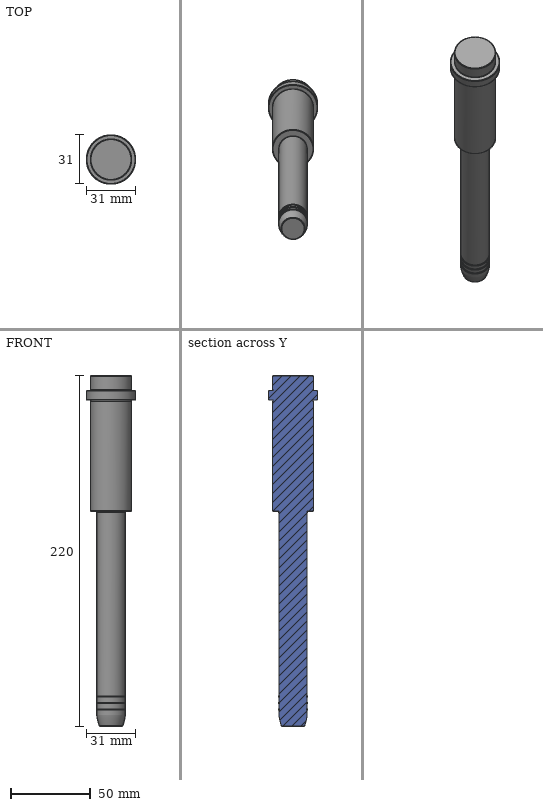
import cadquery as cq

length = 220.0
top_z = length / 2
bottom_z = -length / 2

body_diameter = 26.0
body_length = 85.1
body_chamfer = 0.5
body_top_chamfer = 0.5

flange_diameter = 31.0
flange_top_depth = 9.2
flange_thickness = 6.2
flange_chamfer = 0.5

relief_width = 0.7
relief_depth = 0.2

shank_diameter = 18.0
nose_length = 7.0
nose_end_diameter = 15.0
nose_end_chamfer = 0.5
nose_bulge = 0.2

oil_groove_count = 3
oil_groove_pitch = 4.0
oil_groove_width = 0.7
oil_groove_depth = 0.5
lowest_oil_groove_height = 10.3


def cylinder(diameter, low_z, height):
    """Solid cylinder on the Z axis, standing on low_z."""
    return cq.Workplane("XY").workplane(offset=low_z).circle(diameter / 2).extrude(height)


def ring(outer_diameter, depth, low_z, height):
    """Ring on the Z axis whose wall reaches inward by depth."""
    inner_diameter = outer_diameter - 2 * depth
    return cylinder(outer_diameter, low_z, height).cut(cylinder(inner_diameter, low_z, height))


def make_body():
    body = cylinder(body_diameter, top_z - body_length, body_length)
    body = body.faces(">Z").chamfer(body_top_chamfer)
    return body.faces("<Z").chamfer(body_chamfer)


def make_flange():
    flange_bottom = top_z - flange_top_depth - flange_thickness
    flange = cylinder(flange_diameter, flange_bottom, flange_thickness)
    return flange.faces(">Z or <Z").edges().chamfer(flange_chamfer)


def make_shank():
    """Revolved shank with a slightly bulged, tapered nose at the bottom."""
    shank_radius = shank_diameter / 2
    nose_end_radius = nose_end_diameter / 2
    nose_end_z = bottom_z + nose_end_chamfer
    nose_top = bottom_z + nose_length
    nose_middle = ((shank_radius + nose_end_radius) / 2 + nose_bulge, (nose_end_z + nose_top) / 2)
    shank_top = top_z - body_length
    return (
        cq.Workplane("XZ")
        .moveTo(0, bottom_z)
        .lineTo(nose_end_radius - nose_end_chamfer, bottom_z)
        .lineTo(nose_end_radius, nose_end_z)
        .threePointArc(nose_middle, (shank_radius, nose_top))
        .lineTo(shank_radius, shank_top)
        .lineTo(0, shank_top)
        .close()
        .revolve(360, (0, 0, 0), (0, 1, 0))
    )


def cut_reliefs(part):
    flange_top = top_z - flange_top_depth
    flange_bottom = flange_top - flange_thickness
    body_bottom = top_z - body_length
    part = part.cut(ring(body_diameter, relief_depth, flange_top, relief_width))
    part = part.cut(ring(body_diameter, relief_depth, flange_bottom - relief_width, relief_width))
    return part.cut(ring(shank_diameter, relief_depth, body_bottom - relief_width, relief_width))


def cut_oil_grooves(part):
    for index in range(oil_groove_count):
        low_z = bottom_z + lowest_oil_groove_height + index * oil_groove_pitch
        part = part.cut(ring(shank_diameter, oil_groove_depth, low_z, oil_groove_width))
    return part


result = make_body().union(make_shank())
result = cut_reliefs(result).union(make_flange())
result = cut_oil_grooves(result)